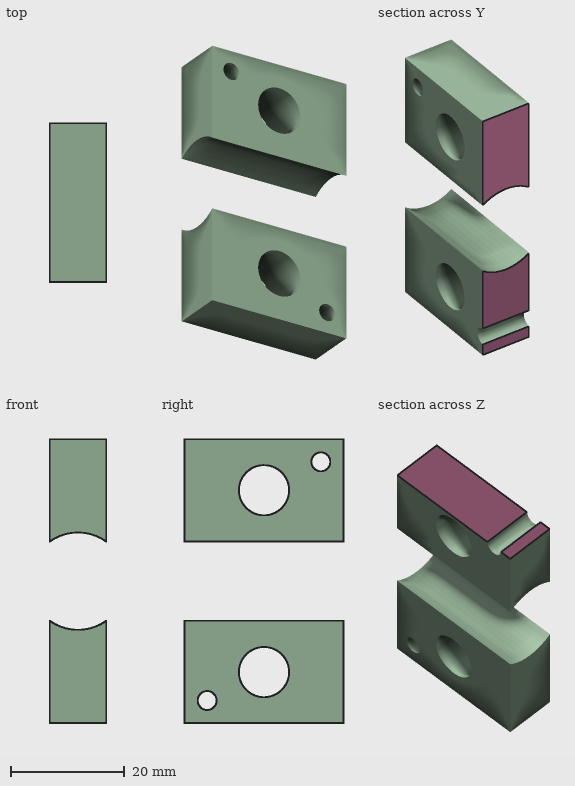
import cadquery as cq

block_width = 9.95
block_length = 28.0
pair_height = 50.0

saddle_radius = 8.55

main_hole_diameter = 8.8
main_hole_height = 16.0
small_hole_diameter = 3.3
small_hole_inset = 4.0

outer_height = pair_height / 2
small_hole_y = block_length / 2 - small_hole_inset
small_hole_z = outer_height - small_hole_inset


def cross_hole(diameter, y, z):
    """Cutter for a hole along X through the full block width."""
    return (
        cq.Workplane("YZ", origin=(-block_width / 2, 0, 0))
        .center(y, z)
        .circle(diameter / 2)
        .extrude(block_width)
    )


def clamp_block():
    """Upper block, with the saddle cut into its lower face."""
    blank = cq.Workplane("XY").box(
        block_width, block_length, outer_height, centered=(True, True, False)
    )
    saddle = (
        cq.Workplane("XZ", origin=(0, block_length / 2, 0))
        .circle(saddle_radius)
        .extrude(block_length)
    )
    return (
        blank.cut(saddle)
        .cut(cross_hole(main_hole_diameter, 0, main_hole_height))
        .cut(cross_hole(small_hole_diameter, small_hole_y, small_hole_z))
    )


clamp_blocks = []
for angle in (0, 180):
    block = clamp_block().rotate((0, 0, 0), (1, 0, 0), angle)
    clamp_blocks.append(block.val())

result = cq.Compound.makeCompound(clamp_blocks)